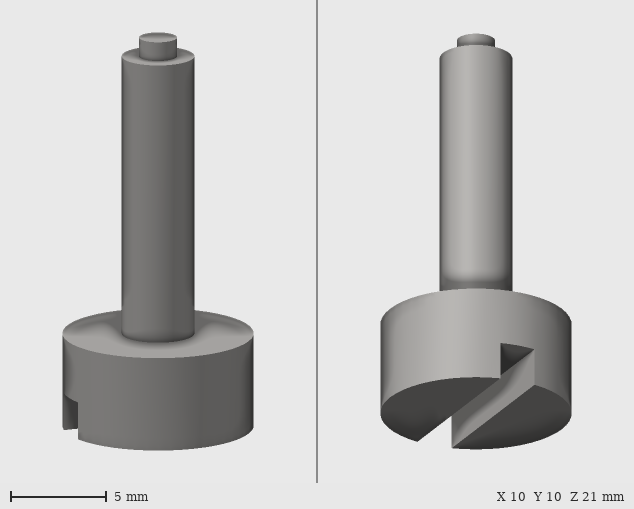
import cadquery as cq

total_height = 21.0
head_diameter = 10.0
head_height = 5.0
shaft_diameter = 3.8
pin_diameter = 2.0
pin_height = 1.0
slot_width = 2.0
slot_depth = 2.0

shaft_height = total_height - head_height - pin_height

body = (
    cq.Workplane("XY")
    .circle(head_diameter / 2)
    .extrude(head_height)
    .faces(">Z")
    .workplane()
    .circle(shaft_diameter / 2)
    .extrude(shaft_height)
    .faces(">Z")
    .workplane()
    .circle(pin_diameter / 2)
    .extrude(pin_height)
)

slot = cq.Workplane("XY").box(
    slot_width, head_diameter, slot_depth, centered=(True, True, False)
)

result = body.cut(slot)